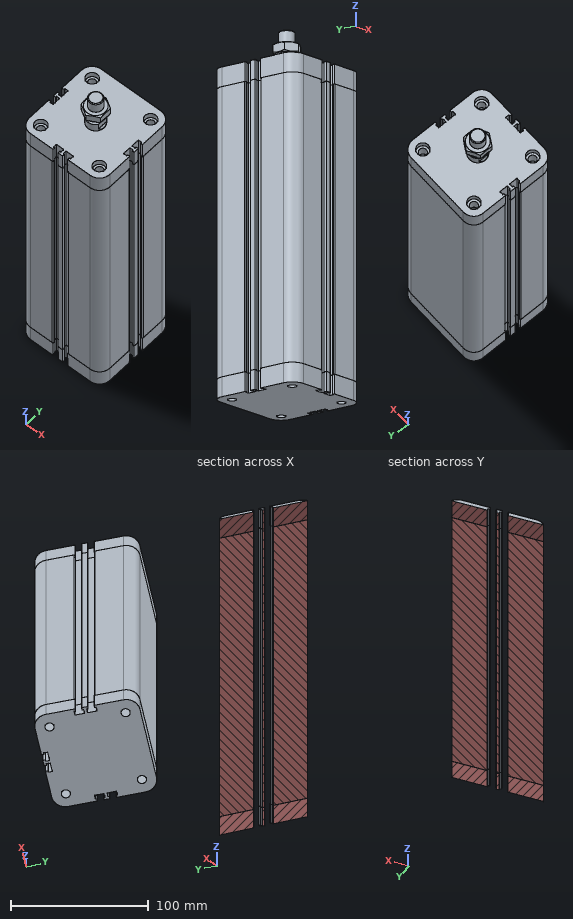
import cadquery as cq
import math

side = 78.0
half_side = side / 2
corner_radius = 10.25
cap_length = 15.0
body_length = 249.3
barrel_length = body_length - 2 * cap_length

hole_pitch = 56.5
hole_diameter = 6.6
counterbore_diameter = 10.5
counterbore_depth = 5.0

slot_center_offset = 4.65
slot_mouth_width = 4.8
slot_inner_width = 7.0
slot_depth = 5.0
slot_lip = 2.0
slot_edge_chamfer = 0.8
slot_face_angles = (-90, 0, 90)

rod_diameter = 16.0
rod_projection = 7.5
flat_width = 13.0
flat_start = 0.5
flat_runout = (rod_diameter - flat_width) / 2
neck_diameter = 10.0
thread_diameter = 12.0
thread_start = 10.0
thread_tip_diameter = 10.5
thread_chamfer = (thread_diameter - thread_tip_diameter) / 2
rod_total_projection = 29.7

nut_flats = 19.0
nut_corners = nut_flats / math.cos(math.pi / 6)
nut_height = 7.5
nut_bottom = 12.4
nut_chamfer_angle = math.radians(30)
nut_face_diameter = 18.0


def slot_profile(center):
    """T-section of one slot cut into the -Y face, symmetric about x = center."""
    mouth = slot_mouth_width / 2
    inner = slot_inner_width / 2
    return (
        cq.Workplane("XY")
        .moveTo(center - mouth, -half_side)
        .lineTo(center - mouth, -half_side + slot_lip)
        .lineTo(center - inner, -half_side + slot_lip)
        .lineTo(center - inner, -half_side + slot_depth)
        .lineTo(center + inner, -half_side + slot_depth)
        .lineTo(center + inner, -half_side + slot_lip)
        .lineTo(center + mouth, -half_side + slot_lip)
        .lineTo(center + mouth, -half_side)
        .close()
    )


def edge_chamfer_profile(direction):
    """Triangle that breaks the outer edge of the slot on the given side (-1 or +1)."""
    edge = direction * (slot_center_offset + slot_mouth_width / 2)
    return (
        cq.Workplane("XY")
        .moveTo(edge, -half_side)
        .lineTo(edge + direction * slot_edge_chamfer, -half_side)
        .lineTo(edge, -half_side + slot_edge_chamfer)
        .close()
    )


def profile_section(length, chamfered_slots=False):
    """Rounded square block with its base at z = 0, the T-slots and the corner holes."""
    block = (
        cq.Workplane("XY")
        .rect(side, side)
        .extrude(length)
        .edges("|Z")
        .fillet(corner_radius)
        .faces(">Z")
        .workplane()
        .rect(hole_pitch, hole_pitch, forConstruction=True)
        .vertices()
        .hole(hole_diameter)
    )
    for angle in slot_face_angles:
        for direction in (-1, 1):
            slot = slot_profile(direction * slot_center_offset).extrude(length)
            block = block.cut(slot.rotate((0, 0, 0), (0, 0, 1), angle))
            if chamfered_slots:
                chamfer = edge_chamfer_profile(direction).extrude(length)
                block = block.cut(chamfer.rotate((0, 0, 0), (0, 0, 1), angle))
    return block


def make_rear_cap():
    return profile_section(cap_length)


def make_barrel():
    return profile_section(barrel_length, chamfered_slots=True).translate((0, 0, cap_length))


def make_front_cap():
    cap = profile_section(cap_length)
    counterbores = (
        cq.Workplane("XY", origin=(0, 0, cap_length))
        .rect(hole_pitch, hole_pitch, forConstruction=True)
        .vertices()
        .circle(counterbore_diameter / 2)
        .extrude(-counterbore_depth)
    )
    rod_bore = cq.Workplane("XY").circle(rod_diameter / 2).extrude(cap_length)
    return cap.cut(counterbores).cut(rod_bore).translate((0, 0, cap_length + barrel_length))


def make_rod():
    """Turned rod; z = 0 is the front face of the cap until the final move."""
    rod_radius = rod_diameter / 2
    neck_radius = neck_diameter / 2
    thread_radius = thread_diameter / 2
    rod = (
        cq.Workplane("XZ")
        .moveTo(0, -cap_length)
        .lineTo(rod_radius, -cap_length)
        .lineTo(rod_radius, rod_projection)
        .lineTo(neck_radius, rod_projection)
        .lineTo(neck_radius, thread_start)
        .lineTo(thread_radius - thread_chamfer, thread_start)
        .lineTo(thread_radius, thread_start + thread_chamfer)
        .lineTo(thread_radius, rod_total_projection - thread_chamfer)
        .lineTo(thread_radius - thread_chamfer, rod_total_projection)
        .lineTo(0, rod_total_projection)
        .close()
        .revolve(360, (0, 0, 0), (0, 1, 0))
    )
    for direction in (-1, 1):
        flat_cut = (
            cq.Workplane("XZ")
            .moveTo(direction * rod_radius, flat_start)
            .lineTo(direction * flat_width / 2, flat_start + flat_runout)
            .lineTo(direction * flat_width / 2, rod_projection)
            .lineTo(direction * rod_radius, rod_projection)
            .close()
            .extrude(rod_radius, both=True)
        )
        rod = rod.cut(flat_cut)
    return rod.translate((0, 0, body_length))


def make_nut():
    """Hexagon with corners on +/-Y, corners chamfered on both faces."""
    face_radius = nut_face_diameter / 2
    tip_radius = nut_corners / 2
    chamfer_height = (tip_radius - face_radius) * math.tan(nut_chamfer_angle)
    hexagon = (
        cq.Workplane("XY")
        .polygon(6, nut_corners)
        .extrude(nut_height)
        .rotate((0, 0, 0), (0, 0, 1), 90)
    )
    chamfer_envelope = (
        cq.Workplane("XZ")
        .moveTo(0, 0)
        .lineTo(face_radius, 0)
        .lineTo(tip_radius, chamfer_height)
        .lineTo(tip_radius, nut_height - chamfer_height)
        .lineTo(face_radius, nut_height)
        .lineTo(0, nut_height)
        .close()
        .revolve(360, (0, 0, 0), (0, 1, 0))
    )
    thread_hole = cq.Workplane("XY").circle(thread_diameter / 2).extrude(nut_height)
    nut = hexagon.intersect(chamfer_envelope).cut(thread_hole)
    return nut.translate((0, 0, body_length + nut_bottom))


rear_cap = make_rear_cap()
barrel = make_barrel()
front_cap = make_front_cap()
piston_rod = make_rod()
lock_nut = make_nut()

result = cq.Compound.makeCompound(
    [rear_cap.val(), barrel.val(), front_cap.val(), piston_rod.val(), lock_nut.val()]
)